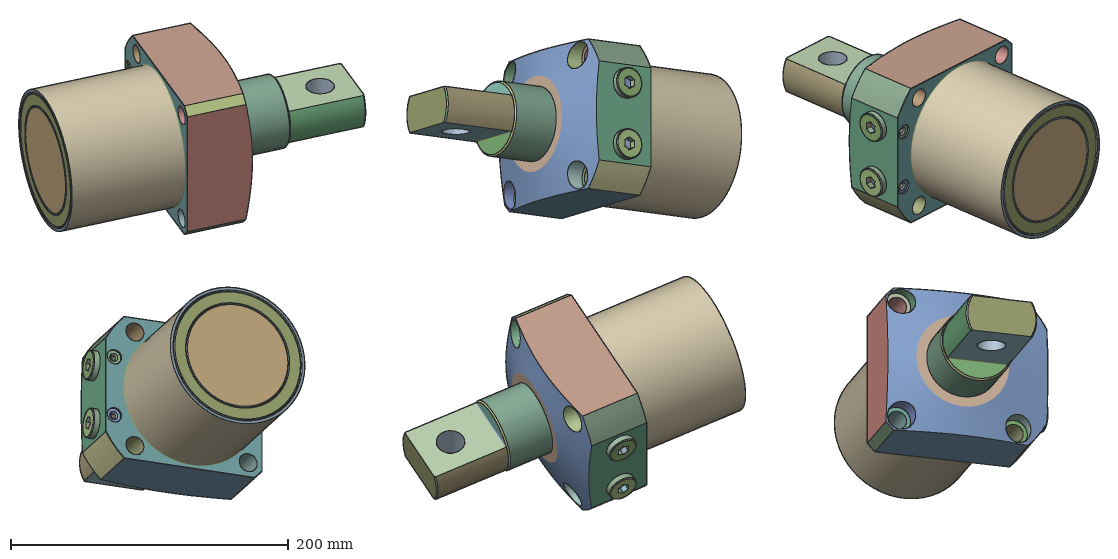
import cadquery as cq
import math


half_width = 55.0
port_side_x = -66.6
port_side_round_radius = 76.0
corner_chamfer = 6.0
flange_height = 56.0
cone_flat_radius = 35.0
cone_slope = math.radians(15)
bolt_offset = 44.0
bolt_hole_radius = 7.0
bolt_head_radius = 10.0
bolt_seat_y = 38.0
face_edge_chamfer = 0.2

barrel_radius = 52.4
barrel_length = 88.0
barrel_root_fillet = 0.5
joint_chamfer = 0.7

ring_radius = 49.5
ring_length = 20.0

piston_radius = 39.7
rod_radius = 27.4
shoulder_y = 91.5
shoulder_chamfer = 1.2
tongue_radius = 26.7
tongue_thickness = 26.7
tongue_end_chamfer = 1.0
tongue_base_fillet = 0.7
total_length = 238.0
tongue_end_y = total_length - barrel_length
pin_hole_radius = 10.2
pin_hole_from_end = 25.2

port_spacing = 45.0
port_heights = (-port_spacing / 2, port_spacing / 2)
seal_recess_radius = 5.5
seal_recess_depth = 1.5
port_x = -60.0
port_mouth_radius = 3.0
port_radius = 2.0
port_depth = 8.3
drill_half_angle = math.radians(59)

plug_y = 22.0
plug_head_radius = 11.0
plug_head_height = 5.0
plug_edge_chamfer = 0.7
plug_shank_radius = 6.7
plug_shank_length = 12.0
socket_across_flats = 8.0
socket_depth = 5.0


def revolved(profile):
    """Solid of revolution about the Y axis from (radius, y) points."""
    return cq.Workplane("XY").polyline(profile).close().revolve(360, (0, 0, 0), (0, 1, 0))


def cylinder_along_y(radius, y_start, y_end, x=0, z=0):
    return (
        cq.Workplane("XZ", origin=(x, y_start, z))
        .circle(radius)
        .extrude(y_start - y_end)
    )


def make_flange():
    """Square block with two round and two chamfered corners under a shallow cone."""
    corner_x = math.sqrt(port_side_round_radius**2 - half_width**2)
    corner_z = math.sqrt(port_side_round_radius**2 - port_side_x**2)
    round_mid = port_side_round_radius * math.sqrt(0.5)
    chamfer_start = half_width - corner_chamfer
    block = (
        cq.Workplane("XZ")
        .moveTo(-corner_x, half_width)
        .lineTo(chamfer_start, half_width)
        .lineTo(half_width, chamfer_start)
        .lineTo(half_width, -chamfer_start)
        .lineTo(chamfer_start, -half_width)
        .lineTo(-corner_x, -half_width)
        .threePointArc((-round_mid, -round_mid), (port_side_x, -corner_z))
        .lineTo(port_side_x, corner_z)
        .threePointArc((-round_mid, round_mid), (-corner_x, half_width))
        .close()
        .extrude(-flange_height)
    )
    block = block.faces("<Y").edges().chamfer(face_edge_chamfer)
    cone_edge_radius = port_side_round_radius + 2.4
    cone_edge_y = flange_height - (cone_edge_radius - cone_flat_radius) * math.tan(cone_slope)
    envelope = revolved([
        (0, 0),
        (cone_edge_radius, 0),
        (cone_edge_radius, cone_edge_y),
        (cone_flat_radius, flange_height),
        (0, flange_height),
    ])
    return block.intersect(envelope)


def make_barrel_root():
    """Collar with a concave edge that fillets the barrel into the flange face."""
    fillet = barrel_root_fillet
    return (
        cq.Workplane("XY")
        .moveTo(0, -fillet)
        .lineTo(barrel_radius, -fillet)
        .radiusArc((barrel_radius + fillet, 0), fillet)
        .lineTo(0, 0)
        .close()
        .revolve(360, (0, 0, 0), (0, 1, 0))
    )


def make_port(z):
    """Cutter for a drilled port with a seal recess and a countersunk mouth."""
    mouth_y = seal_recess_depth + port_mouth_radius - port_radius
    tip_y = port_depth + port_radius / math.tan(drill_half_angle)
    return revolved([
        (0, 0),
        (seal_recess_radius, 0),
        (seal_recess_radius, seal_recess_depth),
        (port_mouth_radius, seal_recess_depth),
        (port_radius, mouth_y),
        (port_radius, port_depth),
        (0, tip_y),
    ]).translate((port_x, 0, z))


def make_housing():
    """Flange and barrel, hollowed out for the ring, the piston rod and the plugs."""
    barrel = cylinder_along_y(barrel_radius, -barrel_length, 0)
    housing = make_flange().union(barrel).union(make_barrel_root())
    interior = revolved([
        (0, -barrel_length),
        (ring_radius + joint_chamfer, -barrel_length),
        (ring_radius, joint_chamfer - barrel_length),
        (ring_radius, ring_length - barrel_length),
        (piston_radius, ring_length - barrel_length),
        (piston_radius, 0),
        (rod_radius, 0),
        (rod_radius, flange_height),
        (0, flange_height),
    ])
    housing = housing.cut(interior)
    for x in (-bolt_offset, bolt_offset):
        for z in (-bolt_offset, bolt_offset):
            bolt_hole = cylinder_along_y(bolt_hole_radius, 0, flange_height, x, z)
            head_recess = cylinder_along_y(bolt_head_radius, bolt_seat_y, flange_height, x, z)
            housing = housing.cut(bolt_hole).cut(head_recess)
    for z in port_heights:
        plug_hole = (
            cq.Workplane("YZ", origin=(port_side_x, plug_y, z))
            .circle(plug_shank_radius)
            .extrude(plug_shank_length)
        )
        housing = housing.cut(plug_hole).cut(make_port(z))
    return housing


def make_guide_ring():
    """Ring flush with the barrel end; its chamfers form V grooves with its neighbours."""
    ring = cylinder_along_y(ring_radius, -barrel_length, ring_length - barrel_length)
    bore = cylinder_along_y(piston_radius, -barrel_length, ring_length - barrel_length)
    return ring.cut(bore).faces("<Y").edges().chamfer(joint_chamfer)


def make_tongue_slab():
    """Flat slab that flares out to the shoulder with a small fillet on both flats."""
    half = tongue_thickness / 2
    fillet = tongue_base_fillet
    base_half = half + fillet
    fillet_end_y = shoulder_y + fillet
    return (
        cq.Workplane("YZ")
        .moveTo(shoulder_y, -base_half)
        .radiusArc((fillet_end_y, -half), fillet)
        .lineTo(tongue_end_y, -half)
        .lineTo(tongue_end_y, half)
        .lineTo(fillet_end_y, half)
        .radiusArc((shoulder_y, base_half), fillet)
        .close()
        .extrude(tongue_radius, both=True)
    )


def make_piston_rod():
    """Piston, rod and flattened tongue with a cross hole, in one piece."""
    body = revolved([
        (0, -barrel_length),
        (piston_radius - joint_chamfer, -barrel_length),
        (piston_radius, joint_chamfer - barrel_length),
        (piston_radius, 0),
        (rod_radius, 0),
        (rod_radius, shoulder_y - shoulder_chamfer),
        (rod_radius - shoulder_chamfer, shoulder_y),
        (0, shoulder_y),
    ])
    tongue = cylinder_along_y(tongue_radius, shoulder_y, tongue_end_y)
    tongue = tongue.faces(">Y").edges().chamfer(tongue_end_chamfer)
    tongue = tongue.intersect(make_tongue_slab())
    pin_hole = (
        cq.Workplane("XY", origin=(0, tongue_end_y - pin_hole_from_end, 0))
        .circle(pin_hole_radius)
        .extrude(tongue_thickness, both=True)
    )
    return body.union(tongue).cut(pin_hole)


def make_plug(z):
    """Screw plug with a round head and a hexagon socket, on the port side of the flange."""
    seat = cq.Workplane("YZ", origin=(port_side_x, plug_y, z))
    head = seat.circle(plug_head_radius).extrude(-plug_head_height)
    head = head.faces("<X").edges().chamfer(plug_edge_chamfer)
    shank = seat.circle(plug_shank_radius).extrude(plug_shank_length)
    socket_across_corners = socket_across_flats / math.cos(math.pi / 6)
    socket = (
        cq.Workplane("YZ", origin=(port_side_x - plug_head_height, plug_y, z))
        .transformed(rotate=(0, 0, 90))
        .polygon(6, socket_across_corners)
        .extrude(socket_depth)
    )
    return head.union(shank).cut(socket)


housing = make_housing()
guide_ring = make_guide_ring()
piston_rod = make_piston_rod()
plugs = [make_plug(z) for z in port_heights]

result = cq.Compound.makeCompound([
    housing.val(),
    guide_ring.val(),
    piston_rod.val(),
    *[plug.val() for plug in plugs],
])